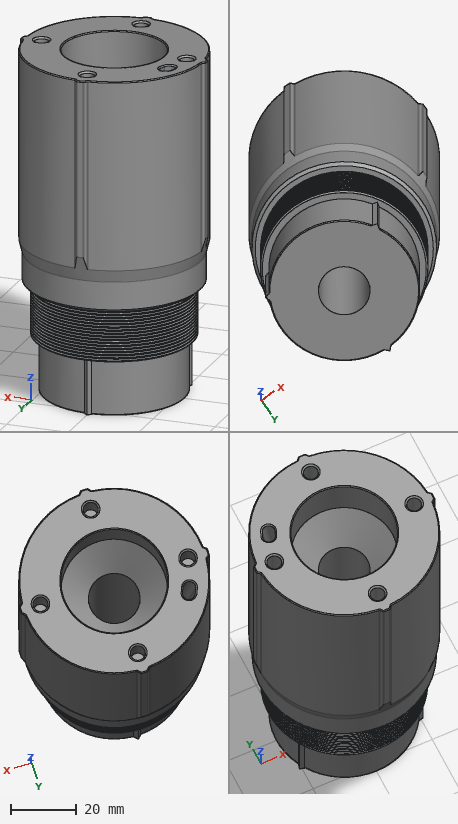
import cadquery as cq
import math

total_height = 110.0
thread_bottom = 18.0
thread_pitch = 1.0
thread_count = 17
collar_bottom = thread_bottom + thread_count * thread_pitch
collar_top = 45.0
rib_taper_top = 53.0

spigot_radius = 22.9
thread_radius = 25.4
thread_crest_width = thread_pitch / 8
thread_root_width = thread_pitch / 4
thread_flank_angle = 30.0
collar_diameter = 56.0
collar_radius = collar_diameter / 2
barrel_diameter = 58.0
barrel_radius = barrel_diameter / 2
rib_diameter = 60.0
rib_radius = rib_diameter / 2

edge_break = 0.3
collar_chamfer = 1.0

barrel_rib_count = 4
rib_tip_half_width = 1.1
rib_foot_half_width = 2.0
rib_foot_fillet = 0.4
rib_tip_fillet = 0.35

spigot_rib_count = 3
spigot_rib_height = 1.1
spigot_rib_half_angle = 45.0
spigot_rib_start_angle = 90.0

bore_radius = 16.2
bore_depth = 13.0
passage_radius = 7.8
funnel_depth = 9.7

hole_count = 4
hole_circle_diameter = 47.0
hole_circle_radius = hole_circle_diameter / 2
hole_diameter = 4.5
hole_radius = hole_diameter / 2
hole_chamfer = 0.5
hole_depth = 10.0

slot_length = 5.6
slot_width = 3.8
slot_position = (-20.8, 9.7)
slot_heading = 67.0
slot_lean = 8.0
slot_depth = 22.0
slot_chamfer = 0.4


def revolve_profile(points):
    """Turn a closed (radius, height) outline about the Z axis."""
    return cq.Workplane("XZ").polyline(points).close().revolve(360, (0, 0, 0), (0, 1, 0))


def round_rib_edges(barrel, radial_distance, half_width, fillet_radius):
    """Fillet the lengthwise edges at the given place on both flanks of every rib."""
    edge_height = (collar_top + total_height) / 2
    for index in range(barrel_rib_count):
        for side in (-1, 1):
            angle = math.radians(index * 360 / barrel_rib_count)
            edge_x = radial_distance * math.cos(angle) - side * half_width * math.sin(angle)
            edge_y = radial_distance * math.sin(angle) + side * half_width * math.cos(angle)
            edge = cq.NearestToPointSelector((edge_x, edge_y, edge_height))
            barrel = barrel.edges(edge).fillet(fillet_radius)
    return barrel


def make_barrel():
    """Round barrel with sloped-sided ribs, tapered down to the collar radius."""
    height = total_height - collar_top
    barrel = cq.Workplane("XY").workplane(offset=collar_top).circle(barrel_radius).extrude(height)
    foot_x = math.sqrt(barrel_radius**2 - rib_foot_half_width**2)
    tip_x = math.sqrt(rib_radius**2 - rib_tip_half_width**2)
    rib = (
        cq.Workplane("XY")
        .workplane(offset=collar_top)
        .lineTo(foot_x, -rib_foot_half_width)
        .lineTo(tip_x, -rib_tip_half_width)
        .threePointArc((rib_radius, 0), (tip_x, rib_tip_half_width))
        .lineTo(foot_x, rib_foot_half_width)
        .close()
        .extrude(height)
    )
    for index in range(barrel_rib_count):
        barrel = barrel.union(rib.rotate((0, 0, 0), (0, 0, 1), index * 360 / barrel_rib_count))
    barrel = round_rib_edges(barrel, foot_x, rib_foot_half_width, rib_foot_fillet)
    barrel = round_rib_edges(barrel, tip_x, rib_tip_half_width, rib_tip_fillet)
    barrel = barrel.faces(">Z").edges().chamfer(edge_break)
    envelope = revolve_profile([
        (0, collar_top),
        (collar_radius, collar_top),
        (rib_radius, rib_taper_top),
        (rib_radius, total_height),
        (0, total_height),
    ])
    return barrel.intersect(envelope)


def make_lower_body():
    """Collar, ring-grooved threaded section and spigot as one turned body."""
    flank_height = (thread_pitch - thread_crest_width - thread_root_width) / 2
    thread_root = thread_radius - flank_height / math.tan(math.radians(thread_flank_angle))
    points = [
        (0, 0),
        (spigot_radius - edge_break, 0),
        (spigot_radius, edge_break),
        (spigot_radius, thread_bottom),
        (thread_root, thread_bottom),
    ]
    for index in range(thread_count):
        flank_bottom = thread_bottom + index * thread_pitch + thread_root_width / 2
        crest_bottom = flank_bottom + flank_height
        crest_top = crest_bottom + thread_crest_width
        points.append((thread_root, flank_bottom))
        points.append((thread_radius, crest_bottom))
        points.append((thread_radius, crest_top))
        points.append((thread_root, crest_top + flank_height))
    points += [
        (thread_root, collar_bottom),
        (collar_radius - collar_chamfer, collar_bottom),
        (collar_radius, collar_bottom + collar_chamfer),
        (collar_radius, collar_top),
        (0, collar_top),
    ]
    return revolve_profile(points)


def make_spigot_ribs():
    """Triangular ribs running the full length of the spigot, their roots buried inside it."""
    root_x = spigot_radius - spigot_rib_height
    tip_x = spigot_radius + spigot_rib_height
    half_base = (tip_x - root_x) * math.tan(math.radians(spigot_rib_half_angle))
    rib = (
        cq.Workplane("XY")
        .polyline([(root_x, -half_base), (tip_x, 0), (root_x, half_base)])
        .close()
        .extrude(thread_bottom + thread_pitch)
    )
    ribs = cq.Workplane("XY")
    for index in range(spigot_rib_count):
        angle = spigot_rib_start_angle + index * 360 / spigot_rib_count
        ribs = ribs.add(rib.rotate((0, 0, 0), (0, 0, 1), angle))
    return ribs.combine()


def make_passage():
    """Top bore, conical funnel and straight through passage."""
    funnel_top = total_height - bore_depth
    return revolve_profile([
        (0, 0),
        (passage_radius, 0),
        (passage_radius, funnel_top - funnel_depth),
        (bore_radius, funnel_top),
        (bore_radius, total_height - edge_break),
        (bore_radius + edge_break, total_height),
        (0, total_height),
    ])


def make_blind_holes():
    """Countersunk blind holes spaced around the top face."""
    hole = revolve_profile([
        (0, total_height - hole_depth),
        (hole_radius, total_height - hole_depth),
        (hole_radius, total_height - hole_chamfer),
        (hole_radius + hole_chamfer, total_height),
        (0, total_height),
    ])
    holes = cq.Workplane("XY")
    for index in range(hole_count):
        angle = math.radians(index * 360 / hole_count)
        offset = (hole_circle_radius * math.cos(angle), hole_circle_radius * math.sin(angle), 0)
        holes = holes.add(hole.translate(offset))
    return holes.combine()


def cut_leaning_slot(body):
    """Cut the slot that leans outward with depth and break its edge on the top face."""
    slot = (
        cq.Workplane("XY")
        .workplane(offset=-slot_depth)
        .slot2D(slot_length, slot_width)
        .extrude(2 * slot_depth)
        .rotate((0, 0, 0), (1, 0, 0), -slot_lean)
        .rotate((0, 0, 0), (0, 0, 1), slot_heading)
        .translate((*slot_position, total_height))
    )
    slotted = body.cut(slot)
    center_x, center_y = slot_position
    reach = slot_length / 2
    rim = cq.selectors.BoxSelector(
        (center_x - reach, center_y - reach, total_height - slot_chamfer / 2),
        (center_x + reach, center_y + reach, total_height + slot_chamfer / 2),
    )
    return slotted.edges(rim).chamfer(slot_chamfer)


body = make_lower_body().union(make_barrel()).union(make_spigot_ribs())
body = body.cut(make_passage()).cut(make_blind_holes())
result = cut_leaning_slot(body)